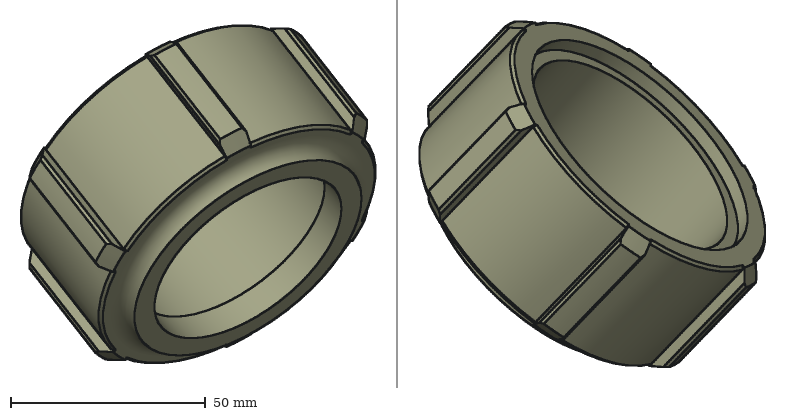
import cadquery as cq
import math

total_length = 43.0
lug_tip_radius = 46.0

ring_length = 38.6
ring_radius = 42.2
ring_chamfer = 0.8

neck_length = total_length - ring_length
neck_radius = 34.6
flare_radius = neck_length

mouth_radius = 71.2 / 2
mouth_depth = 3.9
bore_radius = 64.1 / 2
bore_end = 34.95
through_radius = 56.9 / 2

lug_count = 6
lug_width = 8.0
lug_base_width = 7.1
lug_top_width = 6.4
lug_edge_drop = 1.1
lug_end_length = 3.7
lug_root_radius = 40.5


def make_body():
    """Ring and neck revolved as one solid, before boring."""
    arc_offset = flare_radius * math.sqrt(0.5)
    flare_mid = (total_length - arc_offset, neck_radius + flare_radius - arc_offset)
    profile = (
        cq.Workplane("XY")
        .lineTo(0, ring_radius - ring_chamfer)
        .lineTo(ring_chamfer, ring_radius)
        .lineTo(ring_length - ring_chamfer, ring_radius)
        .lineTo(ring_length, ring_radius - ring_chamfer)
        .lineTo(ring_length, neck_radius + flare_radius)
        .threePointArc(flare_mid, (total_length, neck_radius))
        .lineTo(total_length, 0)
        .close()
    )
    return profile.revolve(360, (0, 0, 0), (1, 0, 0))


def make_lug_envelope():
    """Round blank with conical ends that trims the lug tops and ends."""
    profile = (
        cq.Workplane("XY")
        .lineTo(0, ring_radius)
        .lineTo(lug_end_length, lug_tip_radius)
        .lineTo(ring_length - lug_end_length, lug_tip_radius)
        .lineTo(ring_length, ring_radius)
        .lineTo(ring_length, 0)
        .close()
    )
    return profile.revolve(360, (0, 0, 0), (1, 0, 0))


def make_lug():
    """Lug on the +Z side: widening outward, with bevelled top edges."""
    edge_height = lug_tip_radius - lug_edge_drop
    bar = (
        cq.Workplane("YZ")
        .moveTo(-lug_base_width / 2, lug_root_radius)
        .lineTo(-lug_width / 2, edge_height)
        .lineTo(-lug_top_width / 2, lug_tip_radius)
        .lineTo(lug_top_width / 2, lug_tip_radius)
        .lineTo(lug_width / 2, edge_height)
        .lineTo(lug_base_width / 2, lug_root_radius)
        .close()
        .extrude(ring_length)
    )
    return bar.intersect(make_lug_envelope())


def make_bore():
    """Stepped bore, widest at the mouth."""
    through = cq.Workplane("YZ").circle(through_radius).extrude(total_length)
    bore = cq.Workplane("YZ").circle(bore_radius).extrude(bore_end)
    mouth = cq.Workplane("YZ").circle(mouth_radius).extrude(mouth_depth)
    return through.union(bore).union(mouth)


result = make_body()
lug = make_lug()
for index in range(lug_count):
    angle = index * 360 / lug_count
    result = result.union(lug.rotate((0, 0, 0), (1, 0, 0), angle))
result = result.cut(make_bore())